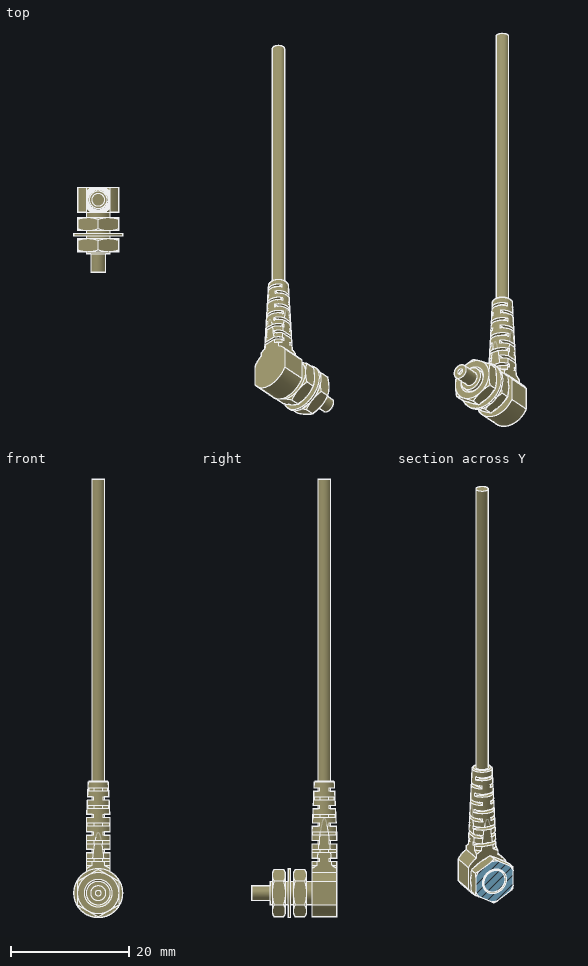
import cadquery as cq
import math


head_radius = 4.0
head_width = 7.0
head_depth = 4.2

boot_width = 4.0
boot_top = 19.0
sleeve_bottom = 4.7
sleeve_bottom_radius = 2.4
sleeve_top_radius = 1.7
flare_bottom = 4.1
boot_top_chamfer = 0.2

slot_height = 0.5
slot_step = 1.5
first_slot_z = 5.6
slot_pairs = 9
web_width = 1.55

cable_diameter = 2.15
cable_bottom = 0.0
total_height = 74.15

barrel_diameter = 4.0
barrel_length = 7.05
tip_diameter = 2.5
tip_length = 3.1
tip_bore_diameter = 1.0
tip_bore_depth = 0.5
hexagon_across_flats = 7.0
hexagon_thickness = 2.2
hexagon_chamfer_angle = 30.0
countersink_diameter = 4.7
disc_diameter = 8.3
disc_thickness = 0.45
collar_gap = 0.45
rear_hexagon_offset = 0.9

head_front = -head_depth / 2
cable_top = total_height - disc_diameter / 2
sleeve_slope = (sleeve_top_radius - sleeve_bottom_radius) / (boot_top - sleeve_bottom)
flare_bottom_radius = sleeve_bottom_radius + sleeve_bottom - flare_bottom
chamfer_start_radius = sleeve_top_radius - sleeve_slope * boot_top_chamfer
chamfer_end_radius = sleeve_top_radius - boot_top_chamfer


def rod_along_y(diameter, rear_offset, length):
    """Cylinder pointing to -Y that starts rear_offset in front of the head."""
    plane = cq.Workplane("XZ", origin=(0, head_front - rear_offset, 0))
    return plane.circle(diameter / 2).extrude(length)


def make_cable():
    length = cable_top - cable_bottom
    return cq.Workplane("XY").workplane(offset=cable_bottom).circle(cable_diameter / 2).extrude(length)


def make_head():
    disc = cq.Workplane("XZ", origin=(0, head_depth / 2, 0)).circle(head_radius).extrude(head_depth)
    flats = cq.Workplane("XY").box(head_width, head_depth, 2 * head_radius)
    return disc.intersect(flats)


def make_boot():
    block = cq.Workplane("XY").box(boot_width, head_depth, boot_top, centered=(True, True, False))
    sleeve = (
        cq.Workplane("XZ")
        .lineTo(flare_bottom_radius, 0)
        .lineTo(flare_bottom_radius, flare_bottom)
        .lineTo(sleeve_bottom_radius, sleeve_bottom)
        .lineTo(chamfer_start_radius, boot_top - boot_top_chamfer)
        .lineTo(chamfer_end_radius, boot_top)
        .lineTo(0, boot_top)
        .close()
        .revolve(360, (0, 0, 0), (0, 1, 0))
    )
    return block.intersect(sleeve)


def make_slot_pair(index):
    """Two slots facing each other: on the Y sides for even indices, on the X sides for odd ones."""
    reach = 2 * head_depth
    slab = cq.Workplane("XY").box(reach, reach, slot_height)
    web = cq.Workplane("XY").box(reach, web_width, slot_height)
    pair = slab.cut(web)
    if index % 2 == 1:
        pair = pair.rotate((0, 0, 0), (0, 0, 1), 90)
    return pair.translate((0, 0, first_slot_z + index * slot_step))


def make_elbow(cable):
    elbow = make_head().union(make_boot())
    for index in range(slot_pairs):
        elbow = elbow.cut(make_slot_pair(index))
    return elbow.cut(cable)


def make_hexagon(rear_offset):
    """Hexagonal collar with chamfered corners, two corners on the Z axis."""
    across_corners = hexagon_across_flats / math.cos(math.radians(30))
    corner_depth = (across_corners - hexagon_across_flats) / 2
    chamfer_length = corner_depth * math.tan(math.radians(hexagon_chamfer_angle))
    plane = cq.Workplane("XZ", origin=(0, head_front - rear_offset, 0))
    prism = plane.transformed(rotate=(0, 0, 30)).polygon(6, across_corners).extrude(hexagon_thickness)
    envelope = (
        plane.circle(across_corners / 2)
        .extrude(hexagon_thickness)
        .faces("<Y or >Y")
        .chamfer(chamfer_length, corner_depth)
    )
    return prism.intersect(envelope)


def make_countersinks(rear_offset):
    """The two conical ring grooves that surround the barrel at a hexagon's ends."""
    depth = (countersink_diameter - barrel_diameter) / 2
    rear = head_front - rear_offset
    front = rear - hexagon_thickness
    profile = cq.Workplane("XY")
    for end, inward in ((rear, -depth), (front, depth)):
        profile = profile.polyline(
            [
                (barrel_diameter / 2, end),
                (countersink_diameter / 2, end),
                (barrel_diameter / 2, end + inward),
            ]
        ).close()
    return profile.revolve(360, (0, 0, 0), (0, 1, 0))


def make_fitting():
    disc_offset = rear_hexagon_offset + hexagon_thickness + collar_gap
    front_hexagon_offset = disc_offset + disc_thickness + collar_gap
    fitting = rod_along_y(barrel_diameter, 0, barrel_length)
    fitting = fitting.union(rod_along_y(tip_diameter, barrel_length, tip_length))
    fitting = fitting.union(rod_along_y(disc_diameter, disc_offset, disc_thickness))
    for offset in (rear_hexagon_offset, front_hexagon_offset):
        collar = make_hexagon(offset).cut(make_countersinks(offset))
        fitting = fitting.union(collar)
    bore_start = barrel_length + tip_length - tip_bore_depth
    return fitting.cut(rod_along_y(tip_bore_diameter, bore_start, tip_bore_depth))


cable = make_cable()
elbow = make_elbow(cable)
fitting = make_fitting()

result = cq.Compound.makeCompound([cable.val(), elbow.val(), fitting.val()])